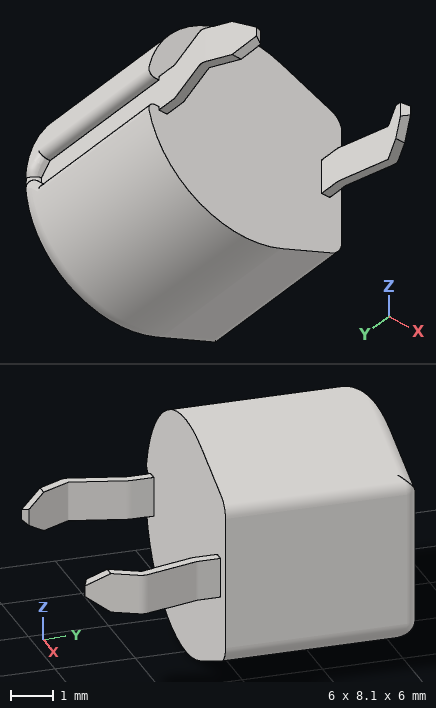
import cadquery as cq
import math

body_radius = 3.0
body_depth = 4.8
flat_half_width = 2.0
corner_radius = 0.5
back_round = 0.5
flat_back_round = 0.28

lead_pitch = 5.0
lead_thickness = 0.25
lead_width = 1.0
lead_length = 3.3
shoulder_drop = 0.58
splay_angle = 15.0
return_angle = 27.0
tip_outer_x = 2.37
shoulder_radius = 0.25
knee_radius = 0.3
taper_length = 0.56
tip_width = 0.27
lead_root_y = 0.5
lead_outer_x = (lead_pitch + lead_thickness) / 2

groove_width = 0.8
groove_end_width = 0.14
groove_taper_start = 4.02
groove_end = 4.345
groove_rim_round = 0.2


def make_housing():
    """Housing with its back edge rounded, before the groove is cut."""
    tangent_angle = 2 * math.atan2(flat_half_width, body_radius)
    tangent_x = body_radius * math.cos(tangent_angle)
    tangent_z = body_radius * math.sin(tangent_angle)
    sharp_housing = (
        cq.Workplane("XZ")
        .moveTo(tangent_x, tangent_z)
        .threePointArc((-body_radius, 0), (tangent_x, -tangent_z))
        .lineTo(body_radius, -flat_half_width)
        .lineTo(body_radius, flat_half_width)
        .close()
        .extrude(-body_depth)
    )
    rounded_sides = sharp_housing.faces(">Y").edges("not(|Z)").fillet(back_round)
    rounded_corners = sharp_housing.faces(">X").edges("|Y").fillet(corner_radius)
    rounded_flat = rounded_corners.faces(">Y").edges().fillet(flat_back_round)
    return rounded_sides.intersect(rounded_flat)


def mitred(bend_angle):
    """Shift along the lead between matching outer and inner corners of a bend."""
    return lead_thickness * math.tan(math.radians(bend_angle) / 2)


def make_lead():
    """Lead on the -X side, buried in the housing at its root."""
    splay_slope = math.tan(math.radians(splay_angle))
    return_slope = math.tan(math.radians(return_angle))
    leg_drop = lead_length - shoulder_drop
    knee_drop = (leg_drop * return_slope - lead_outer_x + tip_outer_x) / (splay_slope + return_slope)
    shoulder = cq.Vector(-lead_outer_x, -shoulder_drop)
    knee = shoulder + cq.Vector(-knee_drop * splay_slope, -knee_drop)
    tip = cq.Vector(-tip_outer_x, -lead_length)

    upper_direction = (knee - shoulder).normalized()
    lower_direction = (tip - knee).normalized()
    across_upper = cq.Vector(-upper_direction.y, upper_direction.x) * lead_thickness
    across_lower = cq.Vector(-lower_direction.y, lower_direction.x) * lead_thickness
    inner_shoulder = shoulder + across_upper + upper_direction * -mitred(splay_angle)
    inner_knee = knee + across_upper + upper_direction * -mitred(splay_angle + return_angle)
    inner_tip = tip + across_lower

    corners = [
        (-lead_outer_x, lead_root_y),
        (shoulder.x, shoulder.y),
        (knee.x, knee.y),
        (tip.x, tip.y),
        (inner_tip.x, inner_tip.y),
        (inner_knee.x, inner_knee.y),
        (inner_shoulder.x, inner_shoulder.y),
        (lead_thickness - lead_outer_x, lead_root_y),
    ]
    strip = cq.Workplane("XY").polyline(corners).close().extrude(lead_width / 2, both=True)
    outer_shoulder_edge = cq.NearestToPointSelector((shoulder.x, shoulder.y, 0))
    outer_knee_edge = cq.NearestToPointSelector((knee.x, knee.y, 0))
    inner_knee_edge = cq.NearestToPointSelector((inner_knee.x, inner_knee.y, 0))
    inner_shoulder_edge = cq.NearestToPointSelector((inner_shoulder.x, inner_shoulder.y, 0))
    strip = strip.edges("|Z").edges(outer_shoulder_edge).fillet(shoulder_radius)
    strip = strip.edges("|Z").edges(inner_shoulder_edge).fillet(shoulder_radius + lead_thickness)
    strip = strip.edges("|Z").edges(outer_knee_edge).fillet(knee_radius)
    strip = strip.edges("|Z").edges(inner_knee_edge).fillet(knee_radius - lead_thickness)

    taper_start = taper_length - lead_length
    outline = (
        cq.Workplane("YZ")
        .moveTo(lead_root_y, lead_width / 2)
        .lineTo(taper_start, lead_width / 2)
        .lineTo(-lead_length, tip_width / 2)
        .lineTo(-lead_length, -tip_width / 2)
        .lineTo(taper_start, -lead_width / 2)
        .lineTo(lead_root_y, -lead_width / 2)
        .close()
        .extrude(2 * body_radius, both=True)
    )
    return strip.intersect(outline)


def cut_groove(housing):
    """Groove that narrows to a blunt end, with a rounded rim."""
    groove = (
        cq.Workplane("YZ", origin=(-lead_outer_x, 0, 0))
        .moveTo(0, groove_width / 2)
        .lineTo(groove_taper_start, groove_width / 2)
        .lineTo(groove_end, groove_end_width / 2)
        .lineTo(groove_end, -groove_end_width / 2)
        .lineTo(groove_taper_start, -groove_width / 2)
        .lineTo(0, -groove_width / 2)
        .close()
        .extrude(-body_radius)
    )
    grooved = housing.cut(groove)
    rim_zone = cq.selectors.BoxSelector(
        (-body_radius - groove_rim_round, groove_rim_round, -groove_width),
        (-lead_outer_x - groove_rim_round, body_depth, groove_width),
    )
    return grooved.edges(rim_zone).fillet(groove_rim_round)


lead = make_lead()
result = cut_groove(make_housing()).union(lead).union(lead.mirror("YZ"))